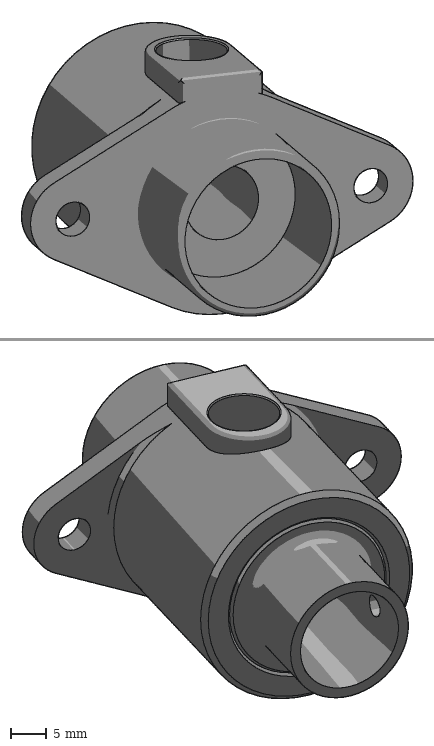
import cadquery as cq
import math


overall_length = 62.7
body_diameter = 33.35
body_radius = body_diameter / 2
body_front = 13.4
body_chamfer = 0.8
rear_diameter = 24.9
rear_rim_fillet = 0.5
rear_root_fillet = 0.3
seat_diameter = 24.65
seat_mouth_diameter = 25.4
seat_chamfer = (seat_mouth_diameter - seat_diameter) / 2
outlet_diameter = 22.2

flange_back = 47.55
flange_thickness = 3.8
flange_front = flange_back - flange_thickness
flange_span = 57.9
flange_end_radius = 6.4
ear_offset = flange_span / 2 - flange_end_radius
bolt_diameter = 5.1
root_fillet = 0.7

pad_top = 35.75 - body_radius
pad_width = 12.7
pad_radius = pad_width / 2
pad_arc_x = 34.2
pad_fillet = 0.75
port_x = 34.9
port_diameter = 10.15
port_chamfer = 0.2

nozzle_diameter = 18.55
nozzle_radius = nozzle_diameter / 2
neck_diameter = 21.6
neck_fillet = (neck_diameter - nozzle_diameter) / 2
shoulder_x = body_front
sleeve_face_diameter = 23.9
sleeve_chamfer = (seat_diameter - sleeve_face_diameter) / 2
mouth_diameter = 15.4
throat_diameter = 11.1
pin_hole_diameter = 3.2
pin_hole_x = 7.15


def cylinder_x(start, end, diameter):
    """Cylinder on the X axis between two X positions."""
    return cq.Workplane("YZ", origin=(start, 0, 0)).circle(diameter / 2).extrude(end - start)


def revolve_x(profile):
    """Turn a profile drawn in X and radius about the X axis."""
    return profile.close().revolve(360, (0, 0, 0), (1, 0, 0))


def flange_blank(start, end):
    """Two rounded ears joined by tangent lines to a disc of the body diameter."""
    sine = (body_radius - flange_end_radius) / ear_offset
    cosine = math.sqrt(1 - sine**2)
    body_y = body_radius * sine
    body_z = body_radius * cosine
    ear_y = ear_offset + flange_end_radius * sine
    ear_z = flange_end_radius * cosine
    return (
        cq.Workplane("YZ", origin=(start, 0, 0))
        .moveTo(body_y, body_z)
        .lineTo(ear_y, ear_z)
        .threePointArc((flange_span / 2, 0), (ear_y, -ear_z))
        .lineTo(body_y, -body_z)
        .threePointArc((0, -body_radius), (-body_y, -body_z))
        .lineTo(-ear_y, -ear_z)
        .threePointArc((-flange_span / 2, 0), (-ear_y, ear_z))
        .lineTo(-body_y, body_z)
        .threePointArc((0, body_radius), (body_y, body_z))
        .close()
        .extrude(end - start)
    )


def make_flange():
    """Flange plate with two bolt holes and a root fillet trimmed to the plate outline."""
    plate = (
        flange_blank(flange_front, flange_back)
        .faces("<X")
        .workplane(origin=(flange_front, 0, 0))
        .pushPoints([(-ear_offset, 0), (ear_offset, 0)])
        .hole(bolt_diameter)
    )
    fillet_start = flange_front - root_fillet
    arc_offset = root_fillet * (1 - math.sqrt(0.5))
    fillet_ring = revolve_x(
        cq.Workplane("XY")
        .moveTo(fillet_start, seat_diameter / 2)
        .lineTo(fillet_start, body_radius)
        .threePointArc(
            (flange_front - arc_offset, body_radius + arc_offset),
            (flange_front, body_radius + root_fillet),
        )
        .lineTo(flange_front, seat_diameter / 2)
    )
    return plate.union(fillet_ring.intersect(flange_blank(fillet_start, flange_front)))


def make_pad():
    """Port pad, round at the front and square at the back, with rounded edges that meet in mitres."""
    pad = (
        cq.Workplane("XY")
        .moveTo(flange_back, -pad_radius)
        .lineTo(pad_arc_x, -pad_radius)
        .threePointArc((pad_arc_x - pad_radius, 0), (pad_arc_x, pad_radius))
        .lineTo(flange_back, pad_radius)
        .close()
        .extrude(pad_top)
    )
    rounded_corners = pad.edges("|Z and >X").fillet(pad_fillet)
    rounded_top = pad.faces(">Z").edges().fillet(pad_fillet)
    return rounded_top.intersect(rounded_corners)


def make_port():
    """Cutter for the radial port, with its small mouth chamfer."""
    bore = cq.Workplane("XY").center(port_x, 0).circle(port_diameter / 2).extrude(pad_top)
    mouth = (
        cq.Workplane("XY", origin=(port_x, 0, pad_top))
        .circle(port_diameter / 2 + port_chamfer)
        .workplane(offset=-port_chamfer)
        .circle(port_diameter / 2)
        .loft()
    )
    return bore.union(mouth)


def make_rear_root():
    """Concave fillet ring between the flange back and the rear tube."""
    rear_radius = rear_diameter / 2
    arc_offset = rear_root_fillet * (1 - math.sqrt(0.5))
    return revolve_x(
        cq.Workplane("XY")
        .moveTo(flange_back, outlet_diameter / 2)
        .lineTo(flange_back, rear_radius + rear_root_fillet)
        .threePointArc(
            (flange_back + arc_offset, rear_radius + arc_offset),
            (flange_back + rear_root_fillet, rear_radius),
        )
        .lineTo(flange_back + rear_root_fillet, outlet_diameter / 2)
    )


def make_housing():
    """Housing with flange, port pad and rear tube, bored in two steps from the front."""
    body = cylinder_x(body_front, flange_back, body_diameter).faces("<X").chamfer(body_chamfer)
    rear = cylinder_x(flange_back, overall_length, rear_diameter).faces(">X").edges().fillet(rear_rim_fillet)
    seat = cylinder_x(body_front, flange_back, seat_diameter)
    outlet = cylinder_x(flange_back, overall_length, outlet_diameter)
    seat_mouth = revolve_x(
        cq.Workplane("XY")
        .moveTo(body_front, 0)
        .lineTo(body_front, seat_mouth_diameter / 2)
        .lineTo(body_front + seat_chamfer, seat_diameter / 2)
        .lineTo(body_front + seat_chamfer, 0)
    )
    outside = body.union(make_flange()).union(make_pad()).union(rear).union(make_rear_root())
    return outside.cut(make_port()).cut(seat).cut(seat_mouth).cut(outlet)


def make_sleeve():
    """Sleeve seated in the housing, with a tapered bore and a cross hole in its -Y wall."""
    arc_offset = neck_fillet * (1 - math.sqrt(0.5))
    sleeve = revolve_x(
        cq.Workplane("XY")
        .moveTo(0, mouth_diameter / 2)
        .lineTo(0, nozzle_radius)
        .lineTo(shoulder_x - neck_fillet, nozzle_radius)
        .threePointArc(
            (shoulder_x - arc_offset, nozzle_radius + arc_offset),
            (shoulder_x, neck_diameter / 2),
        )
        .lineTo(shoulder_x, sleeve_face_diameter / 2)
        .lineTo(shoulder_x + sleeve_chamfer, seat_diameter / 2)
        .lineTo(flange_back, seat_diameter / 2)
        .lineTo(flange_back, throat_diameter / 2)
    )
    pin_hole = (
        cq.Workplane("XZ")
        .center(pin_hole_x, 0)
        .circle(pin_hole_diameter / 2)
        .extrude(nozzle_diameter)
    )
    return sleeve.cut(pin_hole)


housing = make_housing()
sleeve = make_sleeve()

result = cq.Compound.makeCompound([housing.val(), sleeve.val()])